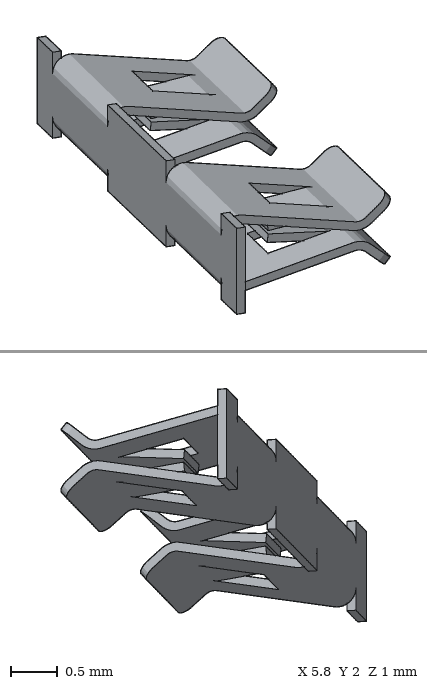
import cadquery as cq
import math


sheet = 0.1
plate_length = 5.8
plate_height = 1.0

clip_x = 1.65
arm_width = 1.6
arm_depth = 2.0
root_z = 0.25
arm_slope = 12.0
root_bend_radius = 0.15
throat_bend_radius = 0.2
throat_y = 1.575
lip_slope = 40.0
lip_corner_radius = 0.15

tongue_x = 1.7
tongue_width = 0.6
window_near_y = 0.74
window_far_y = 1.465
tongue_slope = 6.0
tongue_bend_radius = 0.2
tongue_straight = 0.68


def unit(heading):
    """Unit vector in the YZ plane at a heading in degrees from +Y."""
    angle = math.radians(heading)
    return cq.Vector(math.cos(angle), math.sin(angle))


def straight_piece(start, heading, length):
    """Flat piece of sheet in the YZ plane; returns its sketch and end point."""
    half = unit(heading + 90) * (sheet / 2)
    end = start + unit(heading) * length
    corners = [start + half, end + half, end - half, start - half]
    sketch = cq.Workplane("YZ").polyline([(p.x, p.y) for p in corners]).close()
    return sketch, end


def bent_piece(start, heading, radius, turn):
    """Bent piece of sheet turning by a signed angle; returns its sketch and end point."""
    side = math.copysign(1, turn)
    centre = start + unit(heading + 90 * side) * radius
    inner = radius - sheet / 2
    outer = radius + sheet / 2

    def on_bend(distance, fraction):
        p = centre - unit(heading + 90 * side + turn * fraction) * distance
        return (p.x, p.y)

    sketch = (
        cq.Workplane("YZ")
        .moveTo(*on_bend(outer, 0))
        .threePointArc(on_bend(outer, 0.5), on_bend(outer, 1))
        .lineTo(*on_bend(inner, 1))
        .threePointArc(on_bend(inner, 0.5), on_bend(inner, 0))
        .close()
    )
    end = cq.Vector(*on_bend(radius, 1))
    return sketch, end


def make_plate():
    """Base plate, notched down to the arm roots at each clip."""
    plate = cq.Workplane("XY").box(plate_length, sheet, plate_height).translate((0, sheet / 2, 0))
    notch_depth = plate_height / 2 - root_z
    notch_z = root_z + notch_depth / 2
    for x in (-clip_x, clip_x):
        for z in (-notch_z, notch_z):
            notch = cq.Workplane("XY").box(arm_width, sheet, notch_depth)
            plate = plate.cut(notch.translate((x, sheet / 2, z)))
    return plate


def make_upper_arm():
    """Upper arm with its tongue, for the clip on the +X side."""
    root_turn = -(90 + arm_slope)
    throat_turn = arm_slope + lip_slope
    root, leg_start = bent_piece(cq.Vector(sheet / 2, root_z), 90, root_bend_radius, root_turn)
    leg_cos = math.cos(math.radians(arm_slope))
    leg_end_y = throat_y - throat_bend_radius * math.sin(math.radians(arm_slope))
    leg_length = (leg_end_y - leg_start.x) / leg_cos
    leg, leg_end = straight_piece(leg_start, -arm_slope, leg_length)
    throat, lip_start = bent_piece(leg_end, -arm_slope, throat_bend_radius, throat_turn)

    lip_normal = unit(lip_slope + 90)
    lip_face_y = lip_start.x - lip_normal.x * sheet / 2
    lip_length = (arm_depth - lip_face_y) / math.cos(math.radians(lip_slope))
    lip_sketch, _ = straight_piece(lip_start, lip_slope, lip_length)
    lip = lip_sketch.extrude(arm_width)
    tip_corners = cq.selectors.ParallelDirSelector(cq.Vector(0, lip_normal.x, lip_normal.y))
    lip = lip.edges(tip_corners).edges(">Y").fillet(lip_corner_radius)

    arm = lip
    for sketch in (root, leg, throat):
        arm = arm.union(sketch.extrude(arm_width))
    arm = arm.translate((clip_x - arm_width / 2, 0, 0))

    face_shift = unit(90 - arm_slope).x * sheet / 2
    far_along = (window_far_y - face_shift - leg_start.x) / leg_cos
    window_length = (window_far_y - window_near_y) / leg_cos
    far_point = leg_start + unit(-arm_slope) * far_along
    inward = 180 - arm_slope
    tongue_left = tongue_x - tongue_width / 2
    window, _ = straight_piece(far_point, inward, window_length)
    arm = arm.cut(window.extrude(tongue_width).translate((tongue_left, 0, 0)))

    tongue_turn = arm_slope + tongue_slope
    hinge, tongue_start = bent_piece(far_point, inward, tongue_bend_radius, tongue_turn)
    blade, _ = straight_piece(tongue_start, inward + tongue_turn, tongue_straight)
    tongue = hinge.extrude(tongue_width).union(blade.extrude(tongue_width))
    return arm.union(tongue.translate((tongue_left, 0, 0)))


upper_arm = make_upper_arm()
clip = upper_arm.union(upper_arm.mirror("XY"))
result = make_plate().union(clip).union(clip.mirror("YZ"))